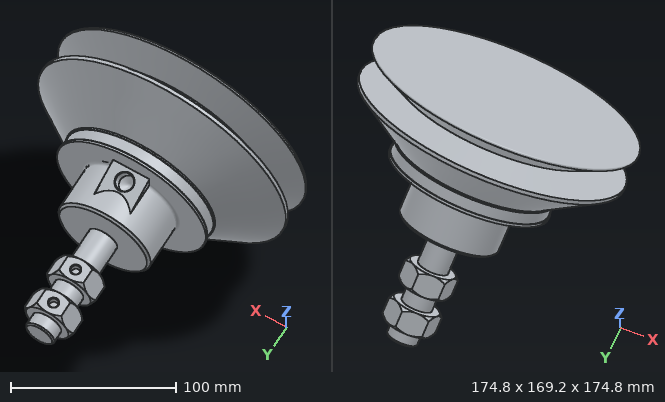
import cadquery as cq
import math


LIP_DIAMETER = 174.77
LIP_RIM_WIDTH = 1.9
LIP_EDGE_FILLET = 1.0
VALLEY_Y = 13.2
VALLEY_DIAMETER = 135.0
RIDGE_START_Y = 22.5
RIDGE_WIDTH = 2.7

COLLAR_DIAMETER = 105.02
COLLAR_GROOVE_DIAMETER = 103.82
COLLAR_START_Y = 50.0
COLLAR_END_Y = 61.1
COLLAR_LOWER_FLANGE = 1.3
COLLAR_UPPER_FLANGE = 2.0

HUB_DIAMETER = 65.0
HUB_END_Y = 94.2
HUB_CHAMFER = 1.6
HUB_BASE_FILLET = 2.0

STUD_DIAMETER = 20.0
STUD_END_Y = 169.17
STUD_CHAMFER = 1.0

NUT_SIDES = 6
NUT_ACROSS_FLATS = 30.0
NUT_THICKNESS = 15.0
NUT_START_Y = (119.0, 145.0)
NUT_CHAMFER_ANGLE = 45.0
SCREW_HOLE_DIAMETER = 6.0
SCREW_HOLE_MOUTH_DIAMETER = 7.0

BOSS_WIDTH = 25.6
BOSS_CREST_HEIGHT = 38.0
BOSS_FACE_ANGLE = 20.0
PORT_Y = 69.1
PORT_DIAMETER = 11.45
PORT_MOUTH_DIAMETER = 12.5
PORT_DEPTH = 12.5
DRILL_POINT_ANGLE = 118.0


def make_cup():
    """Bellows, collar, hub and stud as one solid of revolution about Y."""
    lip_radius = LIP_DIAMETER / 2
    collar_radius = COLLAR_DIAMETER / 2
    groove_radius = COLLAR_GROOVE_DIAMETER / 2
    groove_start = COLLAR_START_Y + COLLAR_LOWER_FLANGE
    groove_end = COLLAR_END_Y - COLLAR_UPPER_FLANGE
    hub_radius = HUB_DIAMETER / 2
    stud_radius = STUD_DIAMETER / 2
    profile = (
        cq.Workplane("XY")
        .lineTo(lip_radius - LIP_EDGE_FILLET, 0)
        .radiusArc((lip_radius, LIP_EDGE_FILLET), -LIP_EDGE_FILLET)
        .lineTo(lip_radius, LIP_RIM_WIDTH)
        .lineTo(VALLEY_DIAMETER / 2, VALLEY_Y)
        .lineTo(lip_radius, RIDGE_START_Y)
        .lineTo(lip_radius, RIDGE_START_Y + RIDGE_WIDTH)
        .lineTo(collar_radius, COLLAR_START_Y)
        .lineTo(collar_radius, groove_start)
        .lineTo(groove_radius, groove_start)
        .lineTo(groove_radius, groove_end)
        .lineTo(collar_radius, groove_end)
        .lineTo(collar_radius, COLLAR_END_Y)
        .lineTo(hub_radius + HUB_BASE_FILLET, COLLAR_END_Y)
        .radiusArc((hub_radius, COLLAR_END_Y + HUB_BASE_FILLET), HUB_BASE_FILLET)
        .lineTo(hub_radius, HUB_END_Y - HUB_CHAMFER)
        .lineTo(hub_radius - HUB_CHAMFER, HUB_END_Y)
        .lineTo(stud_radius, HUB_END_Y)
        .lineTo(stud_radius, STUD_END_Y - STUD_CHAMFER)
        .lineTo(stud_radius - STUD_CHAMFER, STUD_END_Y)
        .lineTo(0, STUD_END_Y)
        .close()
    )
    return profile.revolve(360, (0, 0, 0), (0, 1, 0))


def make_countersink(mouth_diameter, hole_diameter):
    """45 degree cone that opens at Z = 0 and narrows downwards to the hole."""
    mouth_radius = mouth_diameter / 2
    hole_radius = hole_diameter / 2
    return (
        cq.Workplane("XZ")
        .lineTo(mouth_radius, 0)
        .lineTo(hole_radius, hole_radius - mouth_radius)
        .lineTo(0, hole_radius - mouth_radius)
        .close()
        .revolve(360, (0, 0, 0), (0, 1, 0))
    )


def make_nut(start_y):
    """Hexagonal nut with both ends chamfered and a set-screw hole from the +Z flat to the stud."""
    face_radius = NUT_ACROSS_FLATS / 2
    corner_radius = face_radius / math.cos(math.pi / NUT_SIDES)
    chamfer_length = (corner_radius - face_radius) * math.tan(math.radians(NUT_CHAMFER_ANGLE))
    middle_y = start_y + NUT_THICKNESS / 2
    end_y = start_y + NUT_THICKNESS
    hexagon = (
        cq.Workplane("XZ", origin=(0, start_y, 0))
        .polygon(NUT_SIDES, 2 * corner_radius)
        .extrude(-NUT_THICKNESS)
    )
    envelope = (
        cq.Workplane("XY")
        .moveTo(0, start_y)
        .lineTo(face_radius, start_y)
        .lineTo(corner_radius, start_y + chamfer_length)
        .lineTo(corner_radius, end_y - chamfer_length)
        .lineTo(face_radius, end_y)
        .lineTo(0, end_y)
        .close()
        .revolve(360, (0, 0, 0), (0, 1, 0))
    )
    screw_hole = (
        cq.Workplane("XY", origin=(0, middle_y, face_radius))
        .circle(SCREW_HOLE_DIAMETER / 2)
        .extrude(-face_radius)
    )
    countersink = make_countersink(SCREW_HOLE_MOUTH_DIAMETER, SCREW_HOLE_DIAMETER).translate(
        (0, middle_y, face_radius)
    )
    return hexagon.intersect(envelope).cut(screw_hole).cut(countersink)


def boss_face_height(y):
    """Z of the sloping boss face at a position along the axis."""
    return BOSS_CREST_HEIGHT - (y - COLLAR_END_Y) * math.tan(math.radians(BOSS_FACE_ANGLE))


def make_boss():
    """Wedge that grows out of the hub and ends on the collar."""
    foot_y = HUB_END_Y - HUB_CHAMFER
    return (
        cq.Workplane("YZ")
        .moveTo(COLLAR_END_Y, 0)
        .lineTo(COLLAR_END_Y, BOSS_CREST_HEIGHT)
        .lineTo(foot_y, boss_face_height(foot_y))
        .lineTo(foot_y, 0)
        .close()
        .extrude(BOSS_WIDTH / 2, both=True)
    )


def make_port():
    """Blind drilled port, square to the sloping boss face."""
    radius = PORT_DIAMETER / 2
    point_length = radius / math.tan(math.radians(DRILL_POINT_ANGLE / 2))
    drill = (
        cq.Workplane("XZ")
        .lineTo(radius, 0)
        .lineTo(radius, -PORT_DEPTH)
        .lineTo(0, -PORT_DEPTH - point_length)
        .close()
        .revolve(360, (0, 0, 0), (0, 1, 0))
    )
    port = drill.union(make_countersink(PORT_MOUTH_DIAMETER, PORT_DIAMETER))
    return port.rotate((0, 0, 0), (1, 0, 0), -BOSS_FACE_ANGLE).translate(
        (0, PORT_Y, boss_face_height(PORT_Y))
    )


body = make_cup().union(make_boss()).cut(make_port())
for nut_start in NUT_START_Y:
    body = body.union(make_nut(nut_start))
result = body